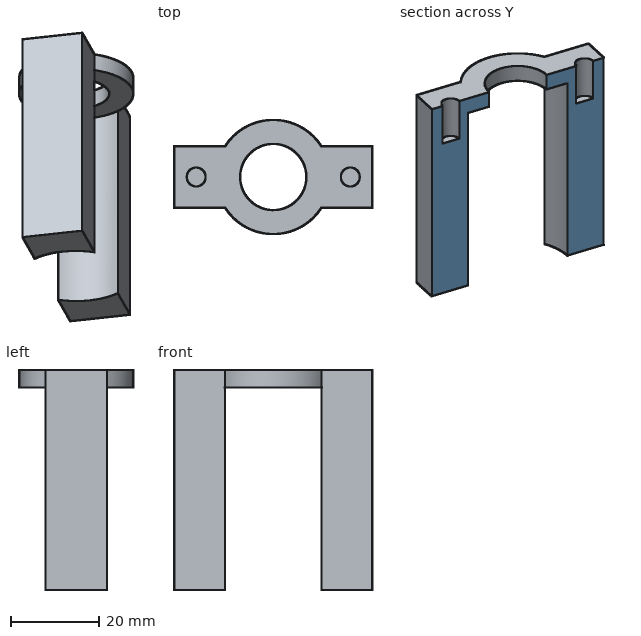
import cadquery as cq

length = 45.0
leg_width = 14.0
height = 50.0

ring_diameter = 26.0
bore_diameter = 15.0
ring_thickness = 4.0

screw_hole_diameter = 4.3
screw_hole_spacing = 35.0
screw_hole_depth = 10.0

ring_bottom = height - ring_thickness


def make_legs():
    """Full-height bar, hollowed below the ring to leave two legs with concave inner faces."""
    bar = cq.Workplane("XY").box(length, leg_width, height, centered=(True, True, False))
    clearance = cq.Workplane("XY").circle(ring_diameter / 2).extrude(ring_bottom)
    return bar.cut(clearance)


def make_ring_disc():
    """Solid disc flush with the tops of the legs."""
    return cq.Workplane("XY").workplane(offset=ring_bottom).circle(ring_diameter / 2).extrude(ring_thickness)


def make_bore():
    """Cutter for the central through bore."""
    return cq.Workplane("XY").circle(bore_diameter / 2).extrude(height)


def make_screw_holes():
    """Cutter for one flat-bottomed hole in the top of each leg."""
    hole_x = screw_hole_spacing / 2
    return (
        cq.Workplane("XY")
        .workplane(offset=height)
        .pushPoints([(-hole_x, 0), (hole_x, 0)])
        .circle(screw_hole_diameter / 2)
        .extrude(-screw_hole_depth)
    )


body = make_legs().union(make_ring_disc())
result = body.cut(make_bore()).cut(make_screw_holes())